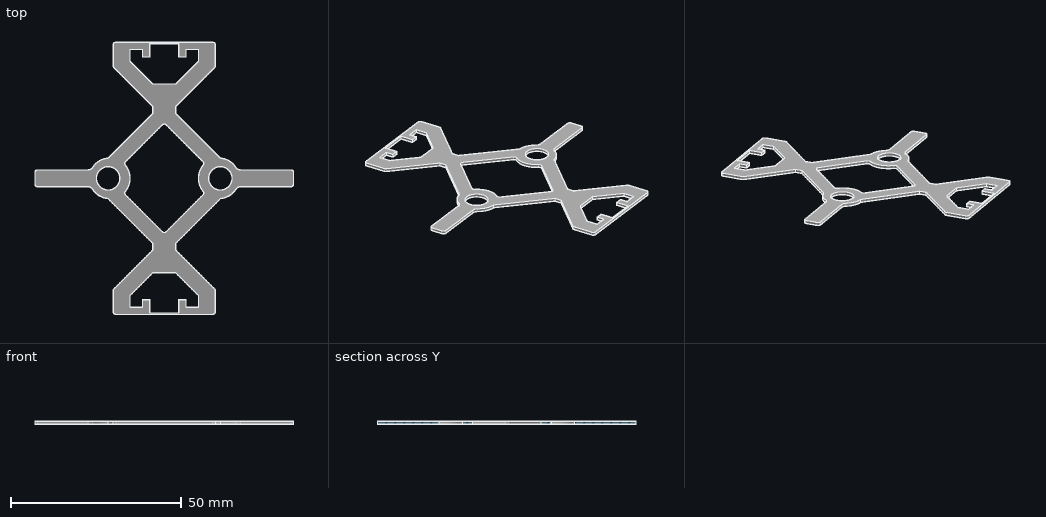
import cadquery as cq
import math

LENGTH_X = 76.0
LENGTH_Y = 80.0
THICKNESS = 1.0
CORNER_RADIUS = 0.8

OUTER_REACH = 22.5
INNER_REACH = 16.2
NECK_HALF_WIDTH = 3.4
CROSSING_Y = 20.1

HEAD_HALF_WIDTH = 15.0

WINDOW_HALF_WIDTH = 10.0
WINDOW_MARGIN = 2.2
WINDOW_SIDE_LENGTH = 3.4
WINDOW_FLOOR_HALF_WIDTH = 3.4
TAB_OUTER_X = 6.4
TAB_INNER_X = 4.2
TAB_LENGTH = 2.2
SLOT_WALL = 0.5

ARM_WIDTH = 5.0
ARM_BLEND_RADIUS = 1.5
BOSS_X = 16.0
BOSS_DIAMETER = 12.0
HOLE_X = 16.5
HOLE_DIAMETER = 6.8

END_Y = LENGTH_Y / 2
SIDES = (1, -1)


def plate(points):
    return cq.Workplane("XY").polyline(points).close().extrude(THICKNESS)


def diamond(reach):
    return plate([(reach, 0), (0, reach), (-reach, 0), (0, -reach)])


def disc(x, diameter):
    return cq.Workplane("XY").center(x, 0).circle(diameter / 2).extrude(THICKNESS)


def mirrored_outline(half):
    """Complete a right-hand outline with its reflection in the Y axis."""
    return half + [(-x, y) for x, y in reversed(half)]


def head(side):
    """Flared end, continuing through the neck into the diamond frame."""
    neck_low_y = OUTER_REACH - NECK_HALF_WIDTH
    neck_high_y = 2 * CROSSING_Y - neck_low_y
    shoulder_y = neck_high_y + HEAD_HALF_WIDTH - NECK_HALF_WIDTH
    half = [
        (NECK_HALF_WIDTH, neck_low_y),
        (NECK_HALF_WIDTH, neck_high_y),
        (HEAD_HALF_WIDTH, shoulder_y),
        (HEAD_HALF_WIDTH, END_Y),
    ]
    outline = [(x, side * y) for x, y in mirrored_outline(half)]
    flare = plate(outline)
    return flare.edges("|Z").edges("<X or >X").fillet(CORNER_RADIUS)


def head_window(side):
    """Tapered opening with two tabs and a shallow slot between them."""
    top_y = END_Y - WINDOW_MARGIN
    corner_y = top_y - WINDOW_SIDE_LENGTH
    floor_y = corner_y - (WINDOW_HALF_WIDTH - WINDOW_FLOOR_HALF_WIDTH)
    half = [
        (WINDOW_FLOOR_HALF_WIDTH, floor_y),
        (WINDOW_HALF_WIDTH, corner_y),
        (WINDOW_HALF_WIDTH, top_y),
        (TAB_OUTER_X, top_y),
        (TAB_OUTER_X, top_y - TAB_LENGTH),
        (TAB_INNER_X, top_y - TAB_LENGTH),
        (TAB_INNER_X, END_Y - SLOT_WALL),
    ]
    return plate([(x, side * y) for x, y in mirrored_outline(half)])


def arm_with_boss(side):
    """Arm with rounded tip, blended into its round boss."""
    arm_length = LENGTH_X / 2 - BOSS_X
    arm_center_x = side * (BOSS_X + arm_length / 2)
    arm = cq.Workplane("XY").box(arm_length, ARM_WIDTH, THICKNESS, centered=(True, True, False))
    arm = arm.translate((arm_center_x, 0, 0))
    arm = arm.edges("|Z").edges(">X" if side > 0 else "<X").fillet(CORNER_RADIUS)
    joined = arm.union(disc(side * BOSS_X, BOSS_DIAMETER))
    joint_x = side * (BOSS_X + math.sqrt((BOSS_DIAMETER / 2) ** 2 - (ARM_WIDTH / 2) ** 2))
    for edge_side in SIDES:
        joint = (joint_x, edge_side * ARM_WIDTH / 2, THICKNESS / 2)
        joined = joined.edges(cq.NearestToPointSelector(joint)).fillet(ARM_BLEND_RADIUS)
    return joined


opening = diamond(INNER_REACH)
for side in SIDES:
    opening = opening.cut(disc(side * BOSS_X, BOSS_DIAMETER))
opening = opening.intersect(cq.Workplane("XY").box(2 * BOSS_X, LENGTH_Y, 2 * THICKNESS))
opening = opening.edges("|Z").fillet(CORNER_RADIUS)

result = diamond(OUTER_REACH).intersect(
    cq.Workplane("XY").box(LENGTH_X, 2 * (OUTER_REACH - NECK_HALF_WIDTH), 2 * THICKNESS)
)
for side in SIDES:
    result = result.union(head(side)).union(arm_with_boss(side))
result = result.cut(opening)
for side in SIDES:
    result = result.cut(head_window(side)).cut(disc(side * HOLE_X, HOLE_DIAMETER))